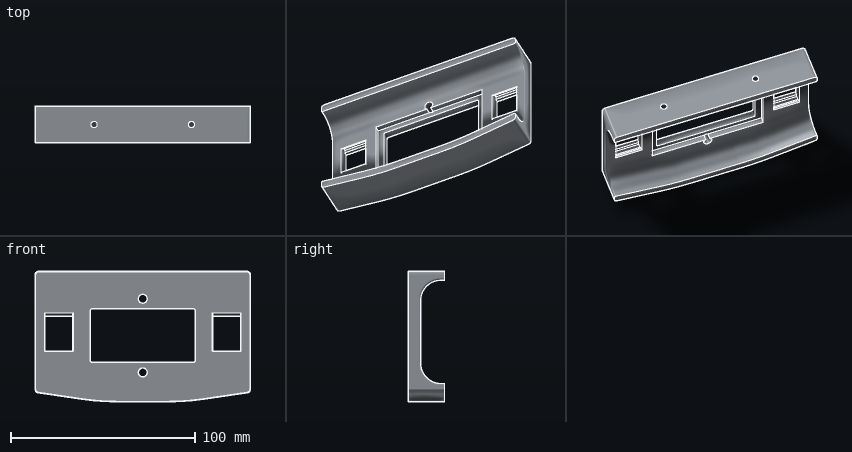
import cadquery as cq
import math

width = 117.0
depth = 20.0
height = 71.0
half_width = width / 2

corner_radius = 2.0
bottom_rise = 5.1
flat_half_width = 23.6
bend_radius = 131.0
front_chamfer = 0.4

wall = 5.0
plate_thickness = 7.0
channel_radius = 10.9
rim_radius = 1.0

socket_center_z = 36.0
socket_width = 56.9
socket_height = 28.9
socket_corner_radius = 0.9
socket_plate_thickness = 4.0
socket_recess_margin = 3.5

screw_diameter = 4.7
screw_spacing = 40.0
top_hole_diameter = 3.4
top_hole_x = 26.5

jack_x = 45.5
jack_width = 15.0
jack_side_chamfer = 0.5
jack_bottom = 27.6
jack_top_front = 48.2
jack_top_back = 46.5
jack_lip = 2.0
jack_recess = 2.0
jack_back_land = 1.0

slope = bottom_rise / (half_width - flat_half_width)
slope_angle = math.atan(slope)

overshoot = 1.2


def front_plane(y):
    """XZ sketch plane at depth y whose extrusions run toward the back."""
    return cq.Workplane("XZ", origin=(0, y, 0))


def arched_prism(half_length, inset, y_start, y_end):
    """Prism along Y: level top, bottom sloping up to both ends, inset from the body outline."""
    bend_x = flat_half_width - inset * math.tan(slope_angle / 2)
    end_z = inset + slope * (half_length - bend_x)
    top_z = height - inset
    return (
        front_plane(y_start)
        .moveTo(-half_length, top_z)
        .lineTo(-half_length, end_z)
        .lineTo(-bend_x, inset)
        .lineTo(bend_x, inset)
        .lineTo(half_length, end_z)
        .lineTo(half_length, top_z)
        .close()
        .extrude(y_start - y_end)
        .edges(cq.selectors.BoxSelector(
            (-bend_x - overshoot, y_start - overshoot, inset - overshoot),
            (bend_x + overshoot, y_end + overshoot, inset + overshoot)))
        .edges("|Y")
        .fillet(bend_radius - inset)
    )


def make_body():
    body = arched_prism(half_width, 0, 0, depth)
    body = body.faces("<X or >X").edges("|Y").fillet(corner_radius)
    return body.faces("<Y").chamfer(front_chamfer)


def make_channel():
    """Channel cutter with large rounds where its floor meets the top and bottom rails."""
    channel = arched_prism(half_width + overshoot, wall, plate_thickness, depth + overshoot)
    return channel.faces("<Y").edges("not |Z").fillet(channel_radius)


def round_channel_rim(body):
    """Round the channel edges on both end faces."""
    lowest_z = wall + bottom_rise - overshoot
    highest_z = height - wall + overshoot
    for end_x in (-half_width, half_width):
        rim_box = cq.selectors.BoxSelector(
            (end_x - overshoot / 2, plate_thickness - overshoot / 2, lowest_z),
            (end_x + overshoot / 2, depth - overshoot / 2, highest_z))
        body = body.edges(rim_box).fillet(rim_radius)
    return body


def make_socket_window():
    window = (
        front_plane(-overshoot).center(0, socket_center_z)
        .rect(socket_width, socket_height)
        .extrude(-(plate_thickness + 2 * overshoot))
        .edges("|Y").fillet(socket_corner_radius)
    )
    recess = (
        front_plane(socket_plate_thickness).center(0, socket_center_z)
        .rect(socket_width + 2 * socket_recess_margin, socket_height + 2 * socket_recess_margin)
        .extrude(-(plate_thickness + overshoot - socket_plate_thickness))
    )
    return window.union(recess)


def make_screw_holes():
    return (
        front_plane(-overshoot).center(0, socket_center_z)
        .rarray(1.2, screw_spacing, 1, 2)
        .circle(screw_diameter / 2)
        .extrude(-(plate_thickness + 2 * overshoot))
    )


def make_top_holes():
    return (
        cq.Workplane("XY", origin=(0, depth / 2, height + overshoot))
        .rarray(2 * top_hole_x, 1.2, 2, 1)
        .circle(top_hole_diameter / 2)
        .extrude(-(wall + 2 * overshoot))
    )


def make_jack_opening(center_x):
    """Jack cutter: ramped latch recesses above and below, chamfered front sides."""
    land_y = plate_thickness - jack_back_land
    lower_ramp_y = land_y - jack_recess
    lower_recess_z = jack_bottom - jack_recess
    upper_recess_z = jack_top_front + jack_recess
    upper_ramp_y = plate_thickness - (upper_recess_z - jack_top_back)
    back_y = plate_thickness + overshoot
    opening = (
        cq.Workplane("YZ", origin=(center_x, 0, 0))
        .moveTo(0, jack_top_front)
        .lineTo(0, jack_bottom)
        .lineTo(jack_lip, jack_bottom)
        .lineTo(jack_lip, lower_recess_z)
        .lineTo(lower_ramp_y, lower_recess_z)
        .lineTo(land_y, jack_bottom)
        .lineTo(back_y, jack_bottom)
        .lineTo(back_y, jack_top_back)
        .lineTo(plate_thickness, jack_top_back)
        .lineTo(upper_ramp_y, upper_recess_z)
        .lineTo(jack_lip, upper_recess_z)
        .lineTo(jack_lip, jack_top_front)
        .close()
        .extrude(jack_width / 2, both=True)
    )
    half = jack_width / 2
    side_chamfers = (
        cq.Workplane("XY", origin=(center_x, 0, jack_bottom))
        .moveTo(-half - jack_side_chamfer, 0)
        .lineTo(half + jack_side_chamfer, 0)
        .lineTo(half, jack_side_chamfer)
        .lineTo(-half, jack_side_chamfer)
        .close()
        .extrude(jack_top_front - jack_bottom)
    )
    return opening.union(side_chamfers)


result = make_body().cut(make_channel())
result = round_channel_rim(result)
result = result.cut(make_socket_window()).cut(make_screw_holes()).cut(make_top_holes())
for jack_center in (-jack_x, jack_x):
    result = result.cut(make_jack_opening(jack_center))